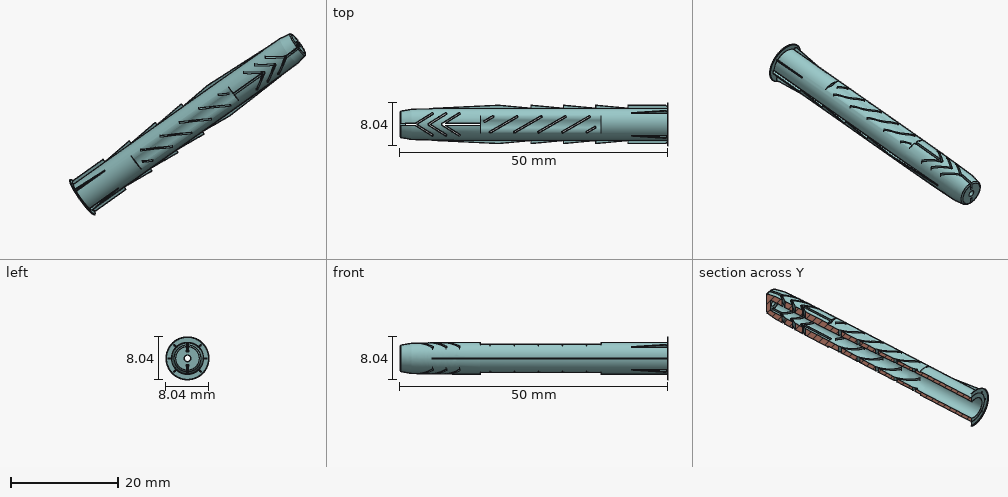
import cadquery as cq
import math

LENGTH = 50.0
BODY_RADIUS = 3.0

TIP_FACE_RADIUS = 2.2
TIP_EDGE_RADIUS = 2.5
TIP_EDGE_LENGTH = 0.2
NOSE_LENGTH = 2.2
NOSE_RADIUS = 2.85
TAPER_END = 15.0

COLLAR_RADIUS = 8.04 / 2
COLLAR_BACK_RADIUS = 3.92
COLLAR_THICKNESS = 0.15

TIP_HOLE_DIAMETER = 1.2
TIP_WALL = 1.05
FRONT_BORE_RADIUS = 1.45
MOUTH_BORE_DIAMETER = 4.2

PANEL_START = TAPER_END
PANEL_END = 37.5
PANEL_HALF_WIDTH = 1.6
CROWN_TOP = 2.65
CROWN_Y = 1.1
GROOVE_EDGE_Y = 0.83
GROOVE_EDGE_Z = 2.63
GROOVE_FLOOR_Z = 2.46

AXIAL_SLOT_WIDTH = 0.4
TIP_SLOT_FLOOR = 1.2
CUT_WIDTH = 0.3
CHEVRON_FIRST = 2.86
CHEVRON_PITCH = 2.5
CHEVRON_COUNT = 3
CHEVRON_ANGLE = 32.0
CHEVRON_ARM = 3.9
SLANT_ANGLE = 30.0
SLANT_FIRST = 19.35
SLANT_PITCH = 4.5
SLANT_COUNT = 4
SLANT_LENGTH = 6.0
SHORT_SLANT_LENGTH = 2.0

FIN_START = 6.0
FIN_THICKNESS = 0.2
FIN_RADIUS = 3.6
BARB_ROOT_RADIUS = 3.03
BARB_FIRST_PEAK = 18.4
BARB_PITCH = 6.03
BARB_COUNT = 4
FIN_CHAMFER = 0.3

GUSSET_START = 43.2
GUSSET_ANGLES = (45, 135, 225, 315)

CLEARANCE = 1.0
CUT_DEPTH = 2 * (BODY_RADIUS + CLEARANCE)
COLLAR_BACK = LENGTH - COLLAR_THICKNESS
X_AXIS = ((0, 0, 0), (1, 0, 0))


def make_body():
    """Bullet-nosed shaft with a thin collar whose rim flares towards the mouth."""
    middle_x = (NOSE_LENGTH + TAPER_END) / 2
    middle_radius = BODY_RADIUS - (BODY_RADIUS - NOSE_RADIUS) / 4
    profile = (
        cq.Workplane("XY")
        .lineTo(0, TIP_FACE_RADIUS)
        .lineTo(TIP_EDGE_LENGTH, TIP_EDGE_RADIUS)
        .lineTo(NOSE_LENGTH, NOSE_RADIUS)
        .threePointArc((middle_x, middle_radius), (TAPER_END, BODY_RADIUS))
        .lineTo(COLLAR_BACK, BODY_RADIUS)
        .lineTo(COLLAR_BACK, COLLAR_BACK_RADIUS)
        .lineTo(LENGTH, COLLAR_RADIUS)
        .lineTo(LENGTH, 0)
        .close()
    )
    return profile.revolve(360, *X_AXIS)


def make_fin():
    """Thin plate with saw-tooth barbs reaching out on both Y sides."""
    edge = [(FIN_START, BODY_RADIUS), (BARB_FIRST_PEAK, FIN_RADIUS)]
    for i in range(1, BARB_COUNT + 1):
        step = BARB_FIRST_PEAK + i * BARB_PITCH
        edge += [(step, BARB_ROOT_RADIUS), (step, FIN_RADIUS)]
    edge += [(COLLAR_BACK - FIN_CHAMFER, FIN_RADIUS), (COLLAR_BACK, FIN_RADIUS - FIN_CHAMFER)]
    mirrored = [(x, -y) for x, y in reversed(edge)]
    return cq.Workplane("XY").polyline(edge + mirrored).close().extrude(FIN_THICKNESS / 2, both=True)


def make_gusset(angle):
    """Tapered rib rising from the shaft towards the collar, chamfered at its high end."""
    outline = [
        (GUSSET_START, 0),
        (GUSSET_START, BODY_RADIUS),
        (COLLAR_BACK - FIN_CHAMFER, FIN_RADIUS),
        (COLLAR_BACK, FIN_RADIUS - FIN_CHAMFER),
        (COLLAR_BACK, 0),
    ]
    rib = cq.Workplane("XY").polyline(outline).close().extrude(FIN_THICKNESS / 2, both=True)
    return rib.rotate(*X_AXIS, angle)


def make_bore():
    """Screw bore: small tip hole, narrow front, widening to the mouth."""
    hole_radius = TIP_HOLE_DIAMETER / 2
    mouth_radius = MOUTH_BORE_DIAMETER / 2
    profile = [
        (0, 0),
        (0, hole_radius),
        (TIP_WALL, hole_radius),
        (TIP_WALL, FRONT_BORE_RADIUS),
        (PANEL_START, FRONT_BORE_RADIUS),
        (PANEL_END, mouth_radius),
        (LENGTH, mouth_radius),
        (LENGTH, 0),
    ]
    return cq.Workplane("XY").polyline(profile).close().revolve(360, *X_AXIS)


def make_panel_recess():
    """Cutter for the +Z panel: a central groove between two crowned rails."""
    rail_edge_z = math.sqrt(BODY_RADIUS**2 - PANEL_HALF_WIDTH**2)
    clear_z = BODY_RADIUS + CLEARANCE
    return (
        cq.Workplane("YZ", origin=(PANEL_START, 0, 0))
        .moveTo(-PANEL_HALF_WIDTH, clear_z)
        .lineTo(-PANEL_HALF_WIDTH, rail_edge_z)
        .threePointArc((-CROWN_Y, CROWN_TOP), (-GROOVE_EDGE_Y, GROOVE_EDGE_Z))
        .threePointArc((0, GROOVE_FLOOR_Z), (GROOVE_EDGE_Y, GROOVE_EDGE_Z))
        .threePointArc((CROWN_Y, CROWN_TOP), (PANEL_HALF_WIDTH, rail_edge_z))
        .lineTo(PANEL_HALF_WIDTH, clear_z)
        .close()
        .extrude(PANEL_END - PANEL_START)
    )


def straight_cut(start, angle, length, width=CUT_WIDTH):
    """Square-ended slot cutter running from start=(x, y) at an angle in the XY plane."""
    slot = cq.Workplane("XY").box(length, width, CUT_DEPTH, centered=(False, True, True))
    return slot.rotate((0, 0, 0), (0, 0, 1), angle).translate((*start, 0))


def chevron_cuts():
    """V-shaped slots pointing to the tip, from one cutter per arm."""
    cuts = []
    for i in range(CHEVRON_COUNT):
        vertex = (CHEVRON_FIRST + i * CHEVRON_PITCH, 0)
        cuts += [straight_cut(vertex, side * CHEVRON_ANGLE, CHEVRON_ARM) for side in (1, -1)]
    return cuts


def slanted_cuts():
    """Row of slanted slots in the panels, shortened at both panel ends."""
    run = math.cos(math.radians(SLANT_ANGLE))
    rise = math.sin(math.radians(SLANT_ANGLE))
    half = SLANT_LENGTH / 2
    cuts = []
    for i in range(-1, SLANT_COUNT + 1):
        centre_x = SLANT_FIRST + i * SLANT_PITCH
        first = half - SHORT_SLANT_LENGTH if i == -1 else -half
        last = SHORT_SLANT_LENGTH - half if i == SLANT_COUNT else half
        start = (centre_x + first * run, first * rise)
        cuts.append(straight_cut(start, SLANT_ANGLE, last - first))
    return cuts


def axial_cuts():
    """Lengthwise slots: a pair in the tip and one from the last chevron to the panels."""
    last_vertex = CHEVRON_FIRST + (CHEVRON_COUNT - 1) * CHEVRON_PITCH
    cuts = [straight_cut((last_vertex, 0), 0, PANEL_START - last_vertex, AXIAL_SLOT_WIDTH)]
    tip_slot = cq.Workplane("XY").box(
        CHEVRON_FIRST, AXIAL_SLOT_WIDTH, BODY_RADIUS, centered=(False, True, False)
    )
    upper_slot = tip_slot.translate((0, 0, TIP_SLOT_FLOOR))
    return cuts + [upper_slot, upper_slot.mirror("XY")]


result = make_body().union(make_fin())
for gusset_angle in GUSSET_ANGLES:
    result = result.union(make_gusset(gusset_angle))

panel_recess = make_panel_recess()
result = result.cut(panel_recess).cut(panel_recess.mirror("XY")).cut(make_bore())

for cutter in chevron_cuts() + slanted_cuts() + axial_cuts():
    result = result.cut(cutter)